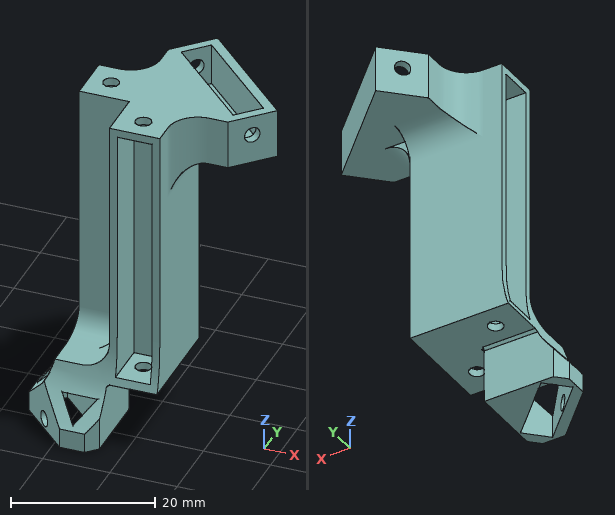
import cadquery as cq
import math

diagonal = math.sqrt(0.5)

height = 50.25
span = 32.85

cell = 7.5
column_start = 5.4
column_inner = column_start + cell
column_outer = column_inner + cell
column_bottom = 9.0

foot_corner_cut = 7.55
foot_tip_cut = 1.6
foot_edge_height = 3.0
flare_top = 16.85
flare_points = [(1.7, 5.1), (3.85, 8.0), (4.85, 11.0)]
join_chamfer = 0.4

scoop_floor = 11.0
scoop_radius = 3.95

arm_thickness = 7.5
arm_bottom = height - arm_thickness
arm_end_cut = 5.35
arm_fillet = 3.95
arm_corner_radius = 4.45

slot_wall = 1.2
slot_side_wall = 1.15
slot_width = cell - 2 * slot_side_wall
slot_bottom = 10.2
slot_depth = 6.3
pocket_width = 4.55
arm_pocket_length = 18.0
arm_pocket_depth = 6.3
arm_pocket_distance = 32.25
foot_pocket_length = 12.25
foot_pocket_depth = 7.0
foot_pocket_wall = 1.65
foot_pocket_distance = foot_corner_cut * diagonal + foot_pocket_wall + pocket_width / 2
hole_diameter = 2.3
leg_hole_inset = 3.3
foot_hole_height = 1.65
arm_hole_height = height - 3.0


def box(x_range, y_range, z_range):
    sizes = [end - start for start, end in (x_range, y_range, z_range)]
    corner = (x_range[0], y_range[0], z_range[0])
    return cq.Workplane("XY").box(*sizes, centered=False).translate(corner)


def mirrored(shape):
    """Mirror about the plane X = Y."""
    return shape.rotate((0, 0, 0), (0, 0, 1), 90).mirror("YZ")


def with_mirror(shape):
    return shape.union(mirrored(shape))


def prism(points, bottom, top):
    return cq.Workplane("XY").workplane(offset=bottom).polyline(points).close().extrude(top - bottom)


def make_flare_envelope():
    """Space to the +X side of the flared outer surface."""
    return (
        cq.Workplane("XZ")
        .moveTo(span, 0)
        .lineTo(0, 0)
        .lineTo(0, foot_edge_height)
        .spline(
            flare_points + [(column_start, flare_top)],
            tangents=[(diagonal, diagonal), (0, 1)],
            includeCurrent=True,
        )
        .lineTo(column_start, height)
        .lineTo(span, height)
        .close()
        .extrude(-span)
    )


def make_foot():
    tip = column_inner - foot_tip_cut
    outline = [
        (foot_corner_cut, 0),
        (tip, 0),
        (column_inner, foot_tip_cut),
        (column_inner, column_inner),
        (foot_tip_cut, column_inner),
        (0, tip),
        (0, foot_corner_cut),
    ]
    return prism(outline, 0, flare_top)


def make_column():
    leg = box((0, column_outer), (column_inner, column_outer), (column_bottom, height))
    return with_mirror(leg)


def make_join_chamfer():
    """Small wedge in the corner between the foot and the column underside."""
    wedge = (
        cq.Workplane("XZ")
        .moveTo(column_inner, column_bottom)
        .lineTo(column_inner + join_chamfer, column_bottom)
        .lineTo(column_inner, column_bottom - join_chamfer)
        .close()
        .extrude(-column_inner)
    )
    return with_mirror(wedge)


def make_scoop():
    """Cutter with rounded bottom edges against both column walls."""
    return (
        box((0, column_inner), (0, column_inner), (scoop_floor, height))
        .faces("<Z")
        .edges(">X or >Y")
        .fillet(scoop_radius)
    )


def make_arm_outline(bottom):
    tip = span - arm_end_cut
    middle = arm_corner_radius * (1 - diagonal)
    return (
        cq.Workplane("XY")
        .workplane(offset=bottom)
        .moveTo(column_inner, column_inner)
        .lineTo(column_outer, column_inner - arm_corner_radius)
        .threePointArc(
            (column_outer + middle, column_inner - middle),
            (column_outer + arm_corner_radius, column_inner),
        )
        .lineTo(tip, column_inner)
        .lineTo(span, column_inner + arm_end_cut)
        .lineTo(column_inner + arm_end_cut, span)
        .lineTo(column_inner, tip)
        .lineTo(column_inner, column_outer + arm_corner_radius)
        .threePointArc(
            (column_inner - middle, column_outer + middle),
            (column_inner - arm_corner_radius, column_outer),
        )
        .close()
        .extrude(height - bottom)
    )


def concave_profile(plane):
    """Fillet section in the corner of the column wall and the arm underside."""
    middle = arm_fillet * (1 - diagonal)
    return (
        plane.moveTo(0, arm_bottom)
        .lineTo(arm_fillet, arm_bottom)
        .threePointArc((middle, arm_bottom - middle), (0, arm_bottom - arm_fillet))
        .close()
    )


def make_arm():
    plane = cq.Workplane("XZ")
    along_wall = with_mirror(concave_profile(plane).extrude(-column_outer).translate((column_outer, 0, 0)))
    round_corner = (
        concave_profile(plane)
        .revolve(90, (0, 0), (0, -1))
        .translate((column_outer, column_outer, 0))
    )
    underside = along_wall.union(round_corner).intersect(make_arm_outline(arm_bottom - arm_fillet))
    return make_arm_outline(arm_bottom).union(underside)


def make_slots():
    slot_start = column_inner + (cell - slot_width) / 2
    slot = box(
        (0, column_start + slot_depth),
        (slot_start, slot_start + slot_width),
        (slot_bottom, height - slot_wall),
    )
    return with_mirror(slot)


def make_pocket(length, distance, bottom, top):
    """Rectangular pocket set across the diagonal, distance measured from the Z axis."""
    return (
        cq.Workplane("XY")
        .box(pocket_width, length, top - bottom, centered=(True, True, False))
        .translate((distance, 0, bottom))
        .rotate((0, 0, 0), (0, 0, 1), 45)
    )


def make_pockets():
    foot = make_pocket(foot_pocket_length, foot_pocket_distance, 0, foot_pocket_depth)
    arm = make_pocket(arm_pocket_length, arm_pocket_distance, height - arm_pocket_depth, height)
    return foot.union(arm)


def cylinder(start, direction, length):
    solid = cq.Solid.makeCylinder(hole_diameter / 2, length, cq.Vector(*start), cq.Vector(*direction))
    return cq.Workplane(obj=solid)


def make_holes():
    leg_hole = cylinder((column_start + leg_hole_inset, column_inner + cell / 2, 0), (0, 0, 1), height)
    foot_hole = cylinder((0, 0, foot_hole_height), (1, 1, 0), foot_pocket_distance)
    arm_hole_sum = 2 * arm_pocket_distance * diagonal
    arm_hole_start = (arm_hole_sum, 0, arm_hole_height)
    arm_hole = cylinder(arm_hole_start, (-1, 1, 0), arm_hole_sum / diagonal)
    return with_mirror(leg_hole).union(foot_hole).union(arm_hole)


envelope = make_flare_envelope()
body = make_foot().union(make_column())
body = body.intersect(envelope).intersect(mirrored(envelope))
join = make_join_chamfer().intersect(envelope).intersect(mirrored(envelope))
body = body.cut(make_scoop()).union(join)
body = body.union(make_arm())
result = body.cut(make_slots()).cut(make_pockets()).cut(make_holes())